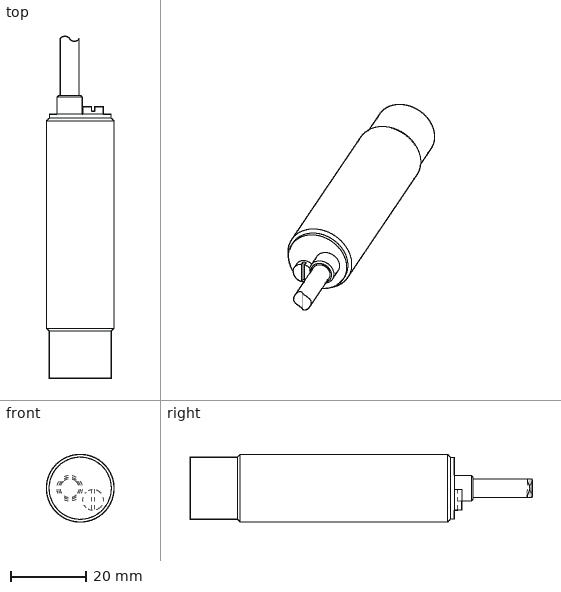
import cadquery as cq
import math


housing_diameter = 18.0
nose_diameter = 16.5
nose_length = 12.5
housing_end = 70.0
front_chamfer = (housing_diameter - nose_diameter) / 2
rear_rim_diameter = 16.4
rear_rim_length = 1.0
rear_chamfer = (housing_diameter - rear_rim_diameter) / 2

cable_x = -2.8
cable_diameter = 5.0
cable_end = 90.0
cable_break_radius = 1.5
sleeve_diameter = 6.8
sleeve_length = 5.0
sleeve_chamfer = 0.5

screw_x = 3.4
screw_z = -3.1
screw_diameter = 5.5
screw_height = 2.0
slot_width = 0.8
slot_depth = 1.2


def cylinder_along_y(x, z, diameter, start, length):
    """Cylinder parallel to Y, running from start toward +Y."""
    axis_start = cq.Vector(x, start, z)
    return cq.Workplane(cq.Solid.makeCylinder(diameter / 2, length, axis_start, cq.Vector(0, 1, 0)))


def make_housing():
    """Turned body with a reduced nose and a reduced rear rim, both joined by cones."""
    nose_radius = nose_diameter / 2
    housing_radius = housing_diameter / 2
    rim_radius = rear_rim_diameter / 2
    rim_start = housing_end - rear_rim_length
    profile = (
        cq.Workplane("XY")
        .moveTo(0, 0)
        .lineTo(nose_radius, 0)
        .lineTo(nose_radius, nose_length)
        .lineTo(housing_radius, nose_length + front_chamfer)
        .lineTo(housing_radius, rim_start - rear_chamfer)
        .lineTo(rim_radius, rim_start)
        .lineTo(rim_radius, housing_end)
        .lineTo(0, housing_end)
        .close()
    )
    return profile.revolve(360, (0, 0, 0), (0, 1, 0))


def make_sleeve():
    """Strain-relief sleeve with a chamfered outer end."""
    sleeve = cylinder_along_y(cable_x, 0, sleeve_diameter, housing_end, sleeve_length)
    return sleeve.faces(">Y").chamfer(sleeve_chamfer)


def make_cable():
    """Cable whose cut end follows an S-shaped break line: one crest and one trough."""
    cable_radius = cable_diameter / 2
    half_chord = cable_radius / 2
    wave_height = cable_break_radius - math.sqrt(cable_break_radius**2 - half_chord**2)
    left = cable_x - cable_radius
    right = cable_x + cable_radius
    envelope = (
        cq.Workplane("XY")
        .moveTo(left, housing_end)
        .lineTo(left, cable_end)
        .threePointArc((cable_x - half_chord, cable_end + wave_height), (cable_x, cable_end))
        .threePointArc((cable_x + half_chord, cable_end - wave_height), (right, cable_end))
        .lineTo(right, housing_end)
        .close()
        .extrude(cable_radius, both=True)
    )
    cable_length = cable_end + wave_height - housing_end
    return cylinder_along_y(cable_x, 0, cable_diameter, housing_end, cable_length).intersect(envelope)


def make_screw():
    """Screw head with a driver slot running along Z."""
    head = cylinder_along_y(screw_x, screw_z, screw_diameter, housing_end, screw_height)
    slot_center_y = housing_end + screw_height - slot_depth / 2
    slot = cq.Workplane("XY").box(slot_width, slot_depth, screw_diameter)
    return head.cut(slot.translate((screw_x, slot_center_y, screw_z)))


result = make_housing().union(make_sleeve()).union(make_cable()).union(make_screw())